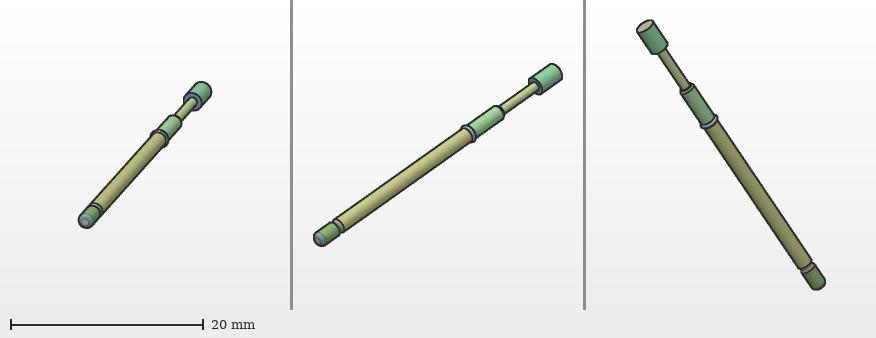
import cadquery as cq
import math


total_length = 35.7
head_length = 3.0
plunger_exposed = 5.35
front_crimp_length = 0.25
ring_setback = 4.7
ring_width = 0.5
barrel_length = 24.5
groove_front_length = 0.3
groove_back_length = 0.35

head_radius = 1.0
plunger_radius = 0.5
barrel_radius = 0.82
ring_radius = head_radius
crimp_depth = 0.15
tail_rounding = 0.43

head_front = total_length / 2
head_back = head_front - head_length
barrel_front = head_back - plunger_exposed
front_crimp_start = barrel_front - front_crimp_length
ring_middle = barrel_front - ring_setback
ring_front = ring_middle + ring_width / 2
ring_back = ring_middle - ring_width / 2
groove_bottom = barrel_front - barrel_length
groove_front = groove_bottom + groove_front_length
groove_back = groove_bottom - groove_back_length
tail_end = -total_length / 2

crimped_radius = barrel_radius - crimp_depth


def crimp_middle(bottom, top):
    """Point halfway along a hollow crimp that runs level at its bottom and rises to the barrel radius."""
    run = top - bottom
    arc_radius = (run**2 + crimp_depth**2) / (2 * crimp_depth)
    rise = arc_radius - math.sqrt(arc_radius**2 - (run / 2) ** 2)
    return (crimped_radius + rise, bottom + run / 2)


rounding_inset = tail_rounding * (1 - math.sqrt(0.5))
tail_rounding_middle = (barrel_radius - rounding_inset, tail_end + rounding_inset)

profile = (
    cq.Workplane("XY")
    .moveTo(0, tail_end)
    .lineTo(barrel_radius - tail_rounding, tail_end)
    .threePointArc(tail_rounding_middle, (barrel_radius, tail_end + tail_rounding))
    .lineTo(barrel_radius, groove_back)
    .threePointArc(crimp_middle(groove_bottom, groove_back), (crimped_radius, groove_bottom))
    .threePointArc(crimp_middle(groove_bottom, groove_front), (barrel_radius, groove_front))
    .lineTo(barrel_radius, ring_back)
    .threePointArc((ring_radius, ring_middle), (barrel_radius, ring_front))
    .lineTo(barrel_radius, front_crimp_start)
    .threePointArc(crimp_middle(barrel_front, front_crimp_start), (crimped_radius, barrel_front))
    .lineTo(plunger_radius, barrel_front)
    .lineTo(plunger_radius, head_back)
    .lineTo(head_radius, head_back)
    .lineTo(head_radius, head_front)
    .lineTo(0, head_front)
    .close()
)

result = profile.revolve(360, (0, 0, 0), (0, 1, 0))